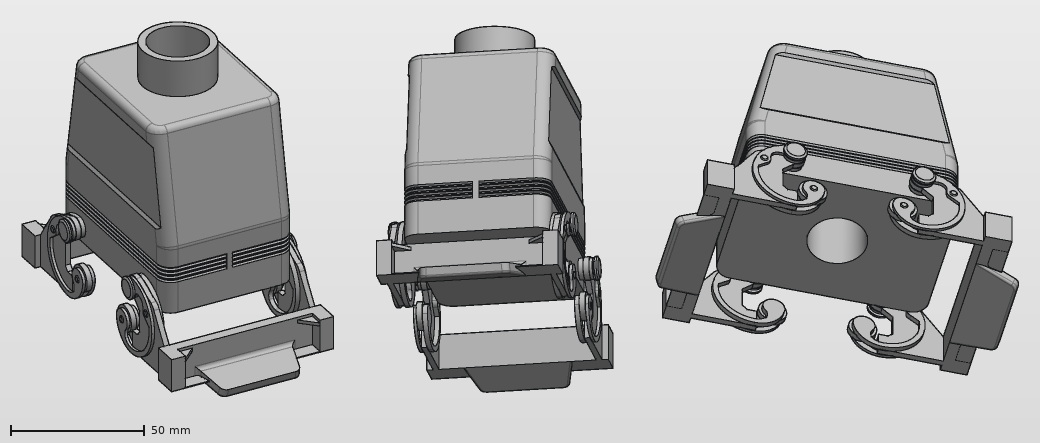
import cadquery as cq
import math

CLEARANCE = 0.7

HOOD_HALF_LENGTH = 81.8 / 2
HOOD_HALF_DEPTH = 56.0 / 2
HOOD_HEIGHT = 75.2
SLOPE_START = 28.0
HOOD_TOP_HALF_LENGTH = 32.1
SLOPE_BLEND_RADIUS = 6.7
CORNER_RADIUS = 6.0
TOP_EDGE_RADIUS = 2.8

COLLAR_TOP = 90.5
COLLAR_RADIUS = 15.0
COLLAR_BORE_RADIUS = 12.0
COLLAR_BORE_DEPTH = 20.0
PASSAGE_RADIUS = 11.5

RECESS_DEPTH = 0.9
RECESS_BOTTOM = 34.2
RECESS_TOP = 68.1
RECESS_BOTTOM_SLOPE = 1.5
RECESS_TOP_SLOPE = 1.0

GROOVE_COUNT = 4
GROOVE_BASE = 13.2
GROOVE_PITCH = 1.7
GROOVE_WIDTH = 1.3
GROOVE_DEPTH = 0.5
GROOVE_GAP = 2.5

ARM_INNER_Y = 30.0
ARM_OUTER_Y = 32.2
CHEEK_OUTER_Y = 33.4
RIVET_OUTER_Y = 33.8
HEAD_INNER_Y = 34.2
HEAD_OUTER_Y = 35.5

PIVOT_X = -24.9
PIVOT_Z = 6.0
CHEEK_CENTER_Z = -6.1
CHEEK_RADIUS = 16.2
CHEEK_WIDTH = 2.1
CHEEK_END_RADIUS = CHEEK_RADIUS - (PIVOT_Z - CHEEK_CENTER_Z)
ARM_END_RADIUS = 4.5
PIN_RADIUS = 2.5
HEAD_RADIUS = 4.5
HEAD_BEVEL_DEPTH = 0.5
HEAD_BEVEL_WIDTH = 0.9

ROLLER_X = -17.4
ROLLER_Z = -11.6
ROLLER_RADIUS = 5.5
HOOK_END_RADIUS = 4.3
RIVET_RADIUS = 1.5
RIVET_BEVEL = 0.4
UPPER_RIVET_X = -36.6
UPPER_RIVET_Z = 0.4
RIVET_LOBE_RADIUS = 2.5

BAR_OUTER_X = -59.0
BAR_INNER_X = -48.6
BAR_TOP = -8.1
BAR_BOTTOM = -22.0
BAR_HALF_WIDTH = 34.6
POCKET_WALL_X = -53.0
POCKET_HALF_WIDTH = 28.7
POCKET_FLOOR = 0.4
GUSSET_TOP = -9.3
GUSSET_THICKNESS = 1.3
GUSSET_LEG_Y = 6.3

TAB_TIP_X = -66.5
TAB_TIP_TOP = -22.6
TAB_ANGLE = math.radians(15)
TAB_TIP_HALF_WIDTH = 16.5
TAB_ROOT_HALF_WIDTH = 20.0
TAB_CORNER_RADIUS = 2.8
TAB_ROOT_RADIUS = 1.9
TAB_UNDERSIDE_RADIUS = 0.9


def polar(center, radius, degrees):
    """Point on a circle in the XZ plane."""
    angle = math.radians(degrees)
    return (center[0] + radius * math.cos(angle), center[1] + radius * math.sin(angle))


def slab(outline, y_near, y_far):
    """Extrude an XZ outline between two distances in front of the centre plane (towards -Y)."""
    return outline.extrude(y_far - y_near).translate((0, -y_near, 0))


def disc(x, z, radius, y_near, y_far):
    return slab(cq.Workplane("XZ").center(x, z).circle(radius), y_near, y_far)


def make_hood():
    profile = [
        (-HOOD_HALF_LENGTH, 0),
        (HOOD_HALF_LENGTH, 0),
        (HOOD_HALF_LENGTH, SLOPE_START),
        (HOOD_TOP_HALF_LENGTH, HOOD_HEIGHT),
        (-HOOD_TOP_HALF_LENGTH, HOOD_HEIGHT),
        (-HOOD_HALF_LENGTH, SLOPE_START),
    ]
    hood = cq.Workplane("XZ").polyline(profile).close().extrude(HOOD_HALF_DEPTH, both=True)
    bends = cq.selectors.BoxSelector(
        (-HOOD_HALF_LENGTH - CLEARANCE, -HOOD_HALF_DEPTH, SLOPE_START - CLEARANCE),
        (HOOD_HALF_LENGTH + CLEARANCE, HOOD_HALF_DEPTH, SLOPE_START + CLEARANCE),
    )
    hood = hood.edges("|Y").edges(bends).fillet(SLOPE_BLEND_RADIUS)
    corner_edges = hood.faces("<Y or >Y").edges("not(|X)")
    hood = corner_edges.fillet(CORNER_RADIUS)
    return hood.faces(">Z").edges().fillet(TOP_EDGE_RADIUS)


def make_recesses():
    floor_y = HOOD_HALF_DEPTH - RECESS_DEPTH
    section = [
        (-HOOD_HALF_DEPTH, RECESS_BOTTOM),
        (-floor_y, RECESS_BOTTOM + RECESS_BOTTOM_SLOPE),
        (-floor_y, RECESS_TOP - RECESS_TOP_SLOPE),
        (-HOOD_HALF_DEPTH, RECESS_TOP),
    ]
    front = cq.Workplane("YZ").polyline(section).close().extrude(HOOD_HALF_LENGTH, both=True)
    return front.union(front.mirror("XZ"))


def make_grooves():
    length = 2 * HOOD_HALF_LENGTH
    depth = 2 * HOOD_HALF_DEPTH
    flank_angle = math.degrees(math.atan2(GROOVE_DEPTH, GROOVE_WIDTH / 2))
    lower_flank = (
        cq.Workplane("XY")
        .sketch()
        .rect(length, depth)
        .vertices()
        .fillet(CORNER_RADIUS)
        .finalize()
        .extrude(GROOVE_WIDTH / 2, taper=flank_angle)
    )
    upper_flank = lower_flank.mirror("XY").translate((0, 0, GROOVE_WIDTH))
    band = cq.Workplane("XY").rect(length + 2 * CLEARANCE, depth + 2 * CLEARANCE).extrude(GROOVE_WIDTH)
    groove = band.cut(lower_flank).cut(upper_flank)
    gap = cq.Workplane("XY").rect(2 * length, GROOVE_GAP).extrude(SLOPE_START)
    grooves = cq.Workplane("XY")
    for index in range(GROOVE_COUNT):
        base = GROOVE_BASE + index * GROOVE_PITCH
        grooves = grooves.add(groove.translate((0, 0, base)))
    return grooves.combine().cut(gap)


def make_cheek(y_near, y_far):
    """C-shaped plate that runs from the pivot around to the hook end."""
    center = (PIVOT_X, CHEEK_CENTER_Z)
    roller = (ROLLER_X, ROLLER_Z)
    rivet = (UPPER_RIVET_X, UPPER_RIVET_Z)
    bottom = CHEEK_CENTER_Z - CHEEK_RADIUS
    inner_radius = CHEEK_RADIUS - CHEEK_WIDTH

    run = ROLLER_X - PIVOT_X
    rise = ROLLER_Z - bottom
    hook_radius = (run**2 + rise**2 - HOOK_END_RADIUS**2) / (2 * (rise - HOOK_END_RADIUS))
    hook_center = (PIVOT_X, bottom + hook_radius)
    hook_angle = math.degrees(math.atan2(ROLLER_Z - hook_center[1], run))

    slit_tip = (-20.0, -16.2)
    slit_end = (-20.4, -18.1)
    slit_bend = (-22.1, -19.5)

    throat_x = rivet[0] + RIVET_LOBE_RADIUS
    neck_drop = 0.9
    neck_z = PIVOT_Z - neck_drop
    neck_radius = 3.2
    outline = (
        cq.Workplane("XZ")
        .moveTo(PIVOT_X, PIVOT_Z + CHEEK_END_RADIUS)
        .threePointArc(polar(center, CHEEK_RADIUS, 180), (PIVOT_X, bottom))
        .threePointArc(
            polar(hook_center, hook_radius, (hook_angle - 90) / 2),
            polar(hook_center, hook_radius, hook_angle),
        )
        .threePointArc(polar(roller, HOOK_END_RADIUS, 120), polar(roller, HOOK_END_RADIUS, 224))
        .threePointArc(slit_tip, slit_end)
        .threePointArc(slit_bend, (PIVOT_X, bottom + CHEEK_WIDTH))
        .threePointArc(polar(center, inner_radius, 225), polar(center, inner_radius, 173))
        .lineTo(*polar(rivet, RIVET_LOBE_RADIUS, -65))
        .threePointArc(polar(rivet, RIVET_LOBE_RADIUS, -32), (throat_x, rivet[1]))
        .lineTo(throat_x, neck_z - neck_radius)
        .radiusArc((throat_x + neck_radius, neck_z), neck_radius)
        .lineTo(PIVOT_X, neck_z)
        .close()
    )
    pivot_end = disc(PIVOT_X, PIVOT_Z, CHEEK_END_RADIUS, y_near, y_far)
    return slab(outline, y_near, y_far).union(pivot_end)


def make_arm():
    """Flat plate between the cheeks, from the pivot out to the handle bar."""
    pivot = (PIVOT_X, PIVOT_Z)
    web_right = -23.5
    web_top = -13.6
    notch_x = -29.1
    notch_chamfer = 1.9
    notch_top = -2.5
    neck_underside = 1.3
    top_normal = 112
    shoulder_start = (-38.2, 5.5)
    shoulder_middle = (-39.5, 4.7)
    shoulder_end = (-40.6, 3.3)
    outline = (
        cq.Workplane("XZ")
        .moveTo(*polar(pivot, ARM_END_RADIUS, top_normal))
        .lineTo(*shoulder_start)
        .threePointArc(shoulder_middle, shoulder_end)
        .lineTo(BAR_INNER_X, BAR_TOP)
        .lineTo(BAR_INNER_X, BAR_BOTTOM)
        .lineTo(web_right, BAR_BOTTOM)
        .lineTo(web_right, web_top)
        .lineTo(notch_x + notch_chamfer, web_top)
        .lineTo(notch_x, web_top + notch_chamfer)
        .lineTo(notch_x, notch_top)
        .lineTo(PIVOT_X, neck_underside)
        .close()
    )
    pivot_end = disc(PIVOT_X, PIVOT_Z, ARM_END_RADIUS, ARM_INNER_Y, ARM_OUTER_Y)
    return slab(outline, ARM_INNER_Y, ARM_OUTER_Y).union(pivot_end)


def make_lever_side():
    side = make_arm()
    side = side.union(make_cheek(HOOD_HALF_DEPTH, ARM_INNER_Y))
    side = side.union(make_cheek(ARM_OUTER_Y, CHEEK_OUTER_Y))
    side = side.union(disc(ROLLER_X, ROLLER_Z, ROLLER_RADIUS, ARM_INNER_Y, ARM_OUTER_Y))
    for x, z in [(ROLLER_X, ROLLER_Z), (UPPER_RIVET_X, UPPER_RIVET_Z)]:
        rivet = disc(x, z, RIVET_RADIUS, ARM_OUTER_Y, RIVET_OUTER_Y)
        side = side.union(rivet.faces("<Y").chamfer(RIVET_BEVEL))
    side = side.union(disc(PIVOT_X, PIVOT_Z, PIN_RADIUS, HOOD_HALF_DEPTH, HEAD_INNER_Y))
    head = disc(PIVOT_X, PIVOT_Z, HEAD_RADIUS, HEAD_INNER_Y, HEAD_OUTER_Y)
    return side.union(head.faces("<Y").edges().chamfer(HEAD_BEVEL_DEPTH, HEAD_BEVEL_WIDTH))


def make_tab():
    slope = math.tan(TAB_ANGLE)
    underside_at_tip = BAR_BOTTOM - (BAR_INNER_X - TAB_TIP_X) * slope
    thickness = (TAB_TIP_TOP - underside_at_tip) * math.cos(TAB_ANGLE)
    tip_bottom = (
        TAB_TIP_X + thickness * math.sin(TAB_ANGLE),
        TAB_TIP_TOP - thickness * math.cos(TAB_ANGLE),
    )
    section = [
        (TAB_TIP_X, TAB_TIP_TOP),
        tip_bottom,
        (BAR_INNER_X, BAR_BOTTOM),
        (POCKET_WALL_X, BAR_BOTTOM),
        (POCKET_WALL_X, TAB_TIP_TOP + (POCKET_WALL_X - TAB_TIP_X) * slope),
    ]
    strip = cq.Workplane("XZ").polyline(section).close().extrude(BAR_HALF_WIDTH, both=True)
    flare = (TAB_ROOT_HALF_WIDTH - TAB_TIP_HALF_WIDTH) / (POCKET_WALL_X - TAB_TIP_X)
    end_half_width = TAB_TIP_HALF_WIDTH + flare * (BAR_INNER_X - TAB_TIP_X)
    plan = [
        (TAB_TIP_X, -TAB_TIP_HALF_WIDTH),
        (BAR_INNER_X, -end_half_width),
        (BAR_INNER_X, end_half_width),
        (TAB_TIP_X, TAB_TIP_HALF_WIDTH),
    ]
    blank = cq.Workplane("XY", origin=(0, 0, underside_at_tip)).polyline(plan).close()
    tab = strip.intersect(blank.extrude(BAR_TOP - underside_at_tip))
    tab = tab.faces("<X").edges("not(|Y)").fillet(TAB_CORNER_RADIUS)
    return tab.faces("<X").edges("|Y and <Z").fillet(TAB_UNDERSIDE_RADIUS)


def block(x_start, x_end, half_width, bottom, top):
    """Box between two X positions and two heights, centred in Y."""
    size = (x_end - x_start, 2 * half_width, top - bottom)
    return cq.Workplane("XY").box(*size, centered=(False, True, False)).translate((x_start, 0, bottom))


def make_bar():
    bar = block(BAR_OUTER_X, BAR_INNER_X, BAR_HALF_WIDTH, BAR_BOTTOM, BAR_TOP)
    bar = bar.cut(block(BAR_OUTER_X, POCKET_WALL_X, POCKET_HALF_WIDTH, BAR_BOTTOM + POCKET_FLOOR, BAR_TOP))
    bar = bar.union(make_tab())
    root = cq.selectors.BoxSelector(
        (POCKET_WALL_X - CLEARANCE, -TAB_ROOT_HALF_WIDTH - CLEARANCE, BAR_BOTTOM),
        (POCKET_WALL_X + CLEARANCE, TAB_ROOT_HALF_WIDTH + CLEARANCE, GUSSET_TOP),
    )
    bar = bar.edges(root).fillet(TAB_ROOT_RADIUS)
    gusset = (
        cq.Workplane("XY", origin=(0, 0, GUSSET_TOP - GUSSET_THICKNESS))
        .moveTo(POCKET_WALL_X, -POCKET_HALF_WIDTH)
        .lineTo(BAR_OUTER_X, -POCKET_HALF_WIDTH)
        .lineTo(POCKET_WALL_X, -POCKET_HALF_WIDTH + GUSSET_LEG_Y)
        .close()
        .extrude(GUSSET_THICKNESS)
    )
    return bar.union(gusset).union(gusset.mirror("XZ"))


def make_lever():
    side = make_lever_side()
    return make_bar().union(side).union(side.mirror("XZ"))


def cylinder(radius, bottom, top):
    """Upright cylinder on the centre axis of the hood."""
    return cq.Workplane("XY", origin=(0, 0, bottom)).circle(radius).extrude(top - bottom)


def make_hood_with_collar():
    hood = make_hood().cut(make_recesses()).cut(make_grooves())
    hood = hood.union(cylinder(COLLAR_RADIUS, HOOD_HEIGHT, COLLAR_TOP))
    hood = hood.cut(cylinder(PASSAGE_RADIUS, 0, COLLAR_TOP))
    return hood.cut(cylinder(COLLAR_BORE_RADIUS, COLLAR_TOP - COLLAR_BORE_DEPTH, COLLAR_TOP))


lever = make_lever()
result = make_hood_with_collar().union(lever).union(lever.mirror("YZ"))